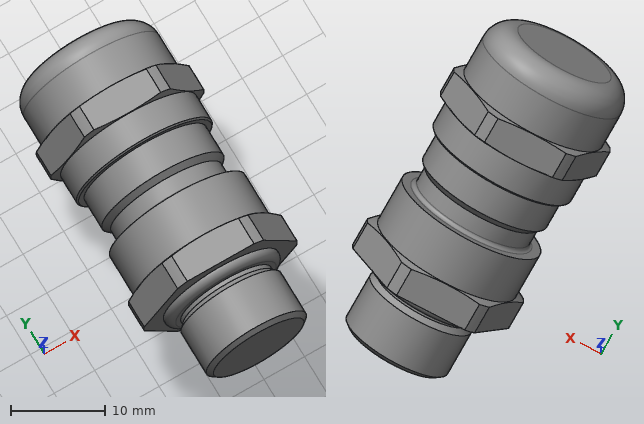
import cadquery as cq
import math

length = 37.8

thread_dia = 12.4
relief_dia = 11.2
seal_dia = 14.2
body_dia = 16.8
groove_dia = 13.75
collar_dia = 15.1

hex_flats = 17.0
hex_corners = 18.9
body_hex_bevel = 0.35
cap_hex_bevel = 0.25

thread_end = 5.8
seal_start = 6.88
body_hex_start = 7.97
body_hex_end = 11.6
body_end = 17.05
collar_start = 20.05
cap_start = 23.77
cap_hex_start = 27.25
cap_hex_end = 30.85

thread_tip_chamfer = 0.5
thread_tip_dia = 11.2
seal_round = 0.9
groove_fillet = 0.45
cap_edge_chamfer = 0.2
dome_radius = 2.75


def arc_middle(center_x, center_y, radius, angle):
    """Point on a circle at the given angle in degrees, used as an inner point of an arc."""
    a = math.radians(angle)
    return center_x + radius * math.cos(a), center_y + radius * math.sin(a)


def turned_body():
    thread_r = thread_dia / 2
    relief_r = relief_dia / 2
    seal_r = seal_dia / 2
    body_r = body_dia / 2
    groove_r = groove_dia / 2
    collar_r = collar_dia / 2
    seal_arc_r = seal_r - seal_round
    seal_arc_y = seal_start + seal_round
    seal_end_r = seal_arc_r + math.sqrt(seal_round**2 - (body_hex_start - seal_arc_y) ** 2)
    dome_arc_r = body_r - dome_radius
    dome_arc_y = length - dome_radius

    profile = (
        cq.Workplane("XY")
        .moveTo(0, 0)
        .lineTo(thread_tip_dia / 2, 0)
        .lineTo(thread_r, thread_tip_chamfer)
        .lineTo(thread_r, thread_end)
        .lineTo(relief_r, thread_end + thread_r - relief_r)
        .lineTo(relief_r, seal_start)
        .lineTo(seal_arc_r, seal_start)
        .threePointArc(arc_middle(seal_arc_r, seal_arc_y, seal_round, -45), (seal_end_r, body_hex_start))
        .lineTo(body_r, body_hex_start)
        .lineTo(body_r, body_end)
        .lineTo(groove_r + groove_fillet, body_end)
        .threePointArc(
            arc_middle(groove_r + groove_fillet, body_end + groove_fillet, groove_fillet, -135),
            (groove_r, body_end + groove_fillet),
        )
        .lineTo(groove_r, collar_start - (collar_r - groove_r))
        .lineTo(collar_r, collar_start)
        .lineTo(collar_r, cap_start)
        .lineTo(body_r - cap_edge_chamfer, cap_start)
        .lineTo(body_r, cap_start + cap_edge_chamfer)
        .lineTo(body_r, dome_arc_y)
        .threePointArc(arc_middle(dome_arc_r, dome_arc_y, dome_radius, 45), (dome_arc_r, length))
        .lineTo(0, length)
        .close()
    )
    return profile.revolve(360, (0, 0), (0, 1))


def hexagon(start, end, start_bevel, end_bevel):
    """Hexagon with flats facing +Z and -Z, corners turned round and ends beveled."""
    prism = (
        cq.Workplane("XZ", origin=(0, start, 0))
        .polygon(6, hex_flats / math.cos(math.pi / 6))
        .extrude(start - end)
    )
    corner_r = hex_corners / 2
    start_r = body_dia / 2 if start_bevel else corner_r
    outline = [(0, start), (start_r, start)]
    if start_bevel:
        outline.append((corner_r, start + start_bevel))
    outline += [(corner_r, end - end_bevel), (body_dia / 2, end), (0, end)]
    turned_blank = cq.Workplane("XY").polyline(outline).close().revolve(360, (0, 0), (0, 1))
    return prism.intersect(turned_blank)


body_hex = hexagon(body_hex_start, body_hex_end, 0, body_hex_bevel)
cap_hex = hexagon(cap_hex_start, cap_hex_end, cap_hex_bevel, cap_hex_bevel)

result = turned_body().union(body_hex).union(cap_hex)